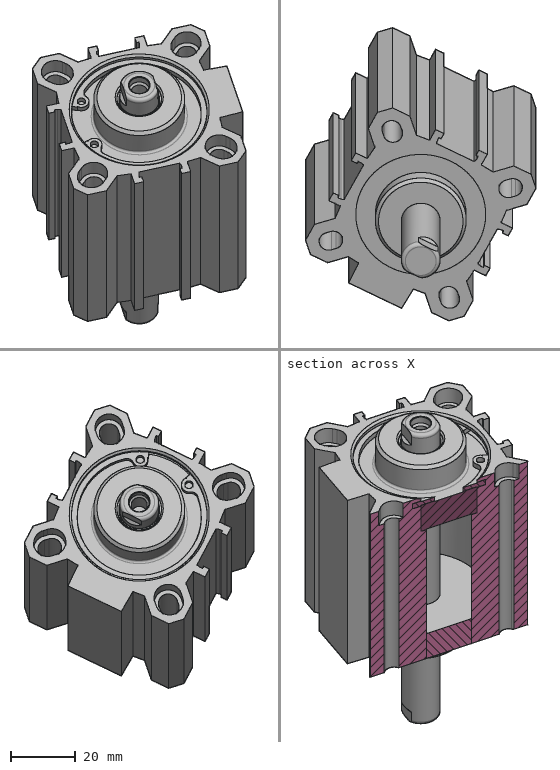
import cadquery as cq
import math

HOUSING_HEIGHT = 64.5
TOP_COLLAR_HEIGHT = 6.3
BOTTOM_COLLAR_HEIGHT = 5.5
ROD_STICKOUT_TOP = 6.2
ROD_STICKOUT_BOTTOM = 32.0

HALF_WIDTH = 27.5
LUG_OUTER_START = 24.0
LUG_INNER_START = 18.0
WALL_ROOT = 22.8
WALL_MIDDLE = 23.2
LUG_ROOT = LUG_INNER_START - (HALF_WIDTH - WALL_ROOT)
BLOCK_TOP = 30.5
BLOCK_HALF_WIDTH = 9.2
BLOCK_ROOT_HALF_WIDTH = 9.5

RAIL_TIP = 27.2
RAIL_OUTER = 8.95
RAIL_HOOK = 6.05
RAIL_NECK = 6.8
RAIL_FOOT = 6.5
RAIL_HOOK_START = 25.2
RAIL_FOOT_TOP = 24.2

MOUNT_POSITION = 20.5
MOUNT_ELONGATION = 1.4
MOUNT_DIAMETER = 5.9
MOUNT_COUNTERBORE = 8.57
MOUNT_COUNTERBORE_DEPTH = 5.6

BORE_DIAMETER = 40.0
SEAT_DIAMETER = 41.7
SEAT_MOUTH_DIAMETER = 43.1
GROOVE_DIAMETER = 44.7

RING_DEPTH = 1.7
RING_THICKNESS = 1.75
RING_INNER_DIAMETER = 38.2
RING_TURN = -1.9
EAR_PITCH_RADIUS = 18.36
EAR_ANGLE = 27.7
EAR_HOLE_DIAMETER = 2.5
GAP_HALF_ANGLE = 20.4
EAR_FILLET = 2.25

COLLAR_DIAMETER = 28.0
COLLAR_CHAMFER = 1.0
COLLAR_FILLET = 0.8
COVER_THICKNESS = 10.0
WIPER_DIAMETER = 13.7
WIPER_DEPTH = 1.0
WIPER_CHAMFER = 0.55
WIPER_LIP_DIAMETER = 12.54
WIPER_LIP_DEPTH = 2.0

ROD_DIAMETER = 12.0
ROD_END_FILLET = 1.25
FLAT_DISTANCE = 10.0
FLAT_LENGTH = 4.5
FLAT_RUNOUT = 0.8
THREAD_DIAMETER = 4.92
THREAD_DEPTH = 12.0
THREAD_RELIEF_DIAMETER = 6.25
THREAD_RELIEF_DEPTH = 2.5
THREAD_MOUTH_CHAMFER = 0.2
DRILL_POINT_ANGLE = 168.0

RING_BOTTOM = HOUSING_HEIGHT - RING_DEPTH - RING_THICKNESS
SEAT_FLOOR = RING_BOTTOM - COVER_THICKNESS
ROD_TOP = HOUSING_HEIGHT + TOP_COLLAR_HEIGHT + ROD_STICKOUT_TOP
ROD_BOTTOM = -BOTTOM_COLLAR_HEIGHT - ROD_STICKOUT_BOTTOM
CORNERS = [(sx, sy) for sx in (-1, 1) for sy in (-1, 1)]


def cylinder(diameter, bottom, top):
    return cq.Workplane("XY").workplane(offset=bottom).circle(diameter / 2).extrude(top - bottom)


def cone(bottom_diameter, top_diameter, bottom, top):
    height = top - bottom
    base = cq.Vector(0, 0, bottom)
    return cq.Workplane(cq.Solid.makeCone(bottom_diameter / 2, top_diameter / 2, height, base))


def housing_core():
    """Square extrusion with a chamfered lug at each corner."""
    quarter = [
        (WALL_MIDDLE, RAIL_OUTER),
        (WALL_ROOT, LUG_ROOT),
        (HALF_WIDTH, LUG_INNER_START),
        (HALF_WIDTH, LUG_OUTER_START),
        (LUG_OUTER_START, HALF_WIDTH),
        (LUG_INNER_START, HALF_WIDTH),
        (LUG_ROOT, WALL_ROOT),
        (RAIL_OUTER, WALL_MIDDLE),
    ]
    outline = []
    for quarter_turns in range(4):
        for x, y in quarter:
            for _ in range(quarter_turns):
                x, y = -y, x
            outline.append((x, y))
    return cq.Workplane("XY").polyline(outline).close().extrude(HOUSING_HEIGHT)


def rail_pair():
    """Two hooked rails on the +X wall, mirrored about the XZ plane."""
    inside = WALL_ROOT
    outline = [
        (inside, RAIL_OUTER),
        (RAIL_TIP, RAIL_OUTER),
        (RAIL_TIP, RAIL_HOOK),
        (RAIL_HOOK_START, RAIL_HOOK),
        (RAIL_HOOK_START, RAIL_NECK),
        (RAIL_FOOT_TOP, RAIL_NECK),
        (WALL_MIDDLE, RAIL_FOOT),
        (inside, RAIL_FOOT),
    ]
    rail = cq.Workplane("XY").polyline(outline).close().extrude(HOUSING_HEIGHT)
    return rail.union(rail.mirror("XZ"))


def port_block():
    """Raised block along the +Y wall."""
    outline = [
        (-BLOCK_ROOT_HALF_WIDTH, WALL_ROOT),
        (BLOCK_ROOT_HALF_WIDTH, WALL_ROOT),
        (BLOCK_HALF_WIDTH, BLOCK_TOP),
        (-BLOCK_HALF_WIDTH, BLOCK_TOP),
    ]
    return cq.Workplane("XY").polyline(outline).close().extrude(HOUSING_HEIGHT)


def mounting_slot(sx, sy, diameter, bottom, top):
    slot = cq.Workplane("XY").workplane(offset=bottom).center(sx * MOUNT_POSITION, sy * MOUNT_POSITION)
    return slot.slot2D(diameter + MOUNT_ELONGATION, diameter, 45 * sx * sy).extrude(top - bottom)


def make_housing():
    body = housing_core().union(port_block())
    for angle in (0, 180, 270):
        body = body.union(rail_pair().rotate((0, 0, 0), (0, 0, 1), angle))
    body = body.cut(cylinder(BORE_DIAMETER, 0, HOUSING_HEIGHT))
    body = body.cut(cylinder(SEAT_DIAMETER, SEAT_FLOOR, HOUSING_HEIGHT))
    body = body.cut(cylinder(GROOVE_DIAMETER, RING_BOTTOM, RING_BOTTOM + RING_THICKNESS))
    mouth_depth = (SEAT_MOUTH_DIAMETER - SEAT_DIAMETER) / 2
    mouth_bottom = HOUSING_HEIGHT - mouth_depth
    body = body.cut(cone(SEAT_DIAMETER, SEAT_MOUTH_DIAMETER, mouth_bottom, HOUSING_HEIGHT))
    counterbore_floor = HOUSING_HEIGHT - MOUNT_COUNTERBORE_DEPTH
    for sx, sy in CORNERS:
        body = body.cut(mounting_slot(sx, sy, MOUNT_DIAMETER, 0, HOUSING_HEIGHT))
        body = body.cut(mounting_slot(sx, sy, MOUNT_COUNTERBORE, counterbore_floor, HOUSING_HEIGHT))
    return body


def make_snap_ring():
    """Open ring with two drilled ears beside the gap, which faces -Y."""
    top = RING_BOTTOM + RING_THICKNESS
    outside = cylinder(GROOVE_DIAMETER, RING_BOTTOM, top)
    ring = outside.cut(cylinder(RING_INNER_DIAMETER, RING_BOTTOM, top))
    ear_radius = EAR_PITCH_RADIUS * math.sin(math.radians(EAR_ANGLE - GAP_HALF_ANGLE))
    angle = math.radians(EAR_ANGLE)
    ear_x = EAR_PITCH_RADIUS * math.sin(angle)
    ear_y = -EAR_PITCH_RADIUS * math.cos(angle)
    ears = [(-ear_x, ear_y), (ear_x, ear_y)]
    plane = cq.Workplane("XY").workplane(offset=RING_BOTTOM)
    ring = ring.union(plane.pushPoints(ears).circle(ear_radius).extrude(RING_THICKNESS))

    reach = GROOVE_DIAMETER
    half_gap = reach * math.tan(math.radians(GAP_HALF_ANGLE))
    wedge = plane.polyline([(0, 0), (-half_gap, -reach), (half_gap, -reach)]).close().extrude(RING_THICKNESS)
    ring = ring.cut(wedge)

    inner_radius = RING_INNER_DIAMETER / 2
    squares = EAR_PITCH_RADIUS**2 + inner_radius**2 - ear_radius**2
    corner_angle = angle + math.acos(squares / (2 * EAR_PITCH_RADIUS * inner_radius))
    for side in (-1, 1):
        corner = (
            side * inner_radius * math.sin(corner_angle),
            -inner_radius * math.cos(corner_angle),
            RING_BOTTOM + RING_THICKNESS / 2,
        )
        ring = ring.edges(cq.selectors.NearestToPointSelector(corner)).fillet(EAR_FILLET)

    ring = ring.cut(plane.pushPoints(ears).circle(EAR_HOLE_DIAMETER / 2).extrude(RING_THICKNESS))
    return ring.rotate((0, 0, 0), (0, 0, 1), RING_TURN)


def make_top_cover():
    """Flange held under the snap ring, with a collar and a stepped wiper bore around the rod."""
    top = HOUSING_HEIGHT + TOP_COLLAR_HEIGHT
    collar = cylinder(COLLAR_DIAMETER, RING_BOTTOM, top).faces(">Z").edges().chamfer(COLLAR_CHAMFER)
    cover = cylinder(SEAT_DIAMETER, SEAT_FLOOR, RING_BOTTOM).union(collar)
    flange_face = cq.selectors.NearestToPointSelector((0, 0, RING_BOTTOM))
    cover = cover.faces(flange_face).edges(cq.selectors.RadiusNthSelector(0)).fillet(COLLAR_FILLET)
    cover = cover.cut(cylinder(ROD_DIAMETER, SEAT_FLOOR, top))
    cover = cover.cut(cylinder(WIPER_LIP_DIAMETER, top - WIPER_LIP_DEPTH, top))
    cover = cover.cut(cylinder(WIPER_DIAMETER, top - WIPER_DEPTH, top))
    mouth_diameter = WIPER_DIAMETER + 2 * WIPER_CHAMFER
    return cover.cut(cone(WIPER_DIAMETER, mouth_diameter, top - WIPER_CHAMFER, top))


def make_bottom_cover():
    """Plug in the lower end of the bore, with a collar below the housing."""
    collar = cylinder(COLLAR_DIAMETER, -BOTTOM_COLLAR_HEIGHT, 0).faces("<Z").edges().chamfer(COLLAR_CHAMFER)
    cover = cylinder(BORE_DIAMETER, 0, COVER_THICKNESS).union(collar)
    return cover.cut(cylinder(ROD_DIAMETER, -BOTTOM_COLLAR_HEIGHT, COVER_THICKNESS))


def wrench_flat(end, inward):
    """Material outside the +Y flat at one rod end; `inward` is the Z direction into the rod."""
    flat = FLAT_DISTANCE / 2
    outside = ROD_DIAMETER / 2
    profile = [
        (flat, end),
        (flat, end + inward * FLAT_LENGTH),
        (outside, end + inward * (FLAT_LENGTH + FLAT_RUNOUT)),
        (outside, end),
    ]
    return cq.Workplane("YZ").polyline(profile).close().extrude(ROD_DIAMETER / 2, both=True)


def make_rod():
    """Through rod with rounded ends, two wrench flats at each end and a threaded hole on top."""
    rod = cylinder(ROD_DIAMETER, ROD_BOTTOM, ROD_TOP)
    rod = rod.faces("<Z or >Z").edges().fillet(ROD_END_FILLET)
    for end, inward in ((ROD_TOP, -1), (ROD_BOTTOM, 1)):
        flat = wrench_flat(end, inward)
        rod = rod.cut(flat).cut(flat.mirror("XZ"))

    relief_floor = ROD_TOP - THREAD_RELIEF_DEPTH
    step = (THREAD_RELIEF_DIAMETER - THREAD_DIAMETER) / 2
    hole_floor = ROD_TOP - THREAD_DEPTH
    point_depth = THREAD_DIAMETER / 2 / math.tan(math.radians(DRILL_POINT_ANGLE / 2))
    rod = rod.cut(cylinder(THREAD_RELIEF_DIAMETER, relief_floor, ROD_TOP))
    mouth_diameter = THREAD_RELIEF_DIAMETER + 2 * THREAD_MOUTH_CHAMFER
    rod = rod.cut(cone(THREAD_RELIEF_DIAMETER, mouth_diameter, ROD_TOP - THREAD_MOUTH_CHAMFER, ROD_TOP))
    rod = rod.cut(cone(THREAD_DIAMETER, THREAD_RELIEF_DIAMETER, relief_floor - step, relief_floor))
    rod = rod.cut(cylinder(THREAD_DIAMETER, hole_floor, ROD_TOP))
    return rod.cut(cone(0.0, THREAD_DIAMETER, hole_floor - point_depth, hole_floor))


housing = make_housing()
snap_ring = make_snap_ring()
top_cover = make_top_cover()
bottom_cover = make_bottom_cover()
rod = make_rod()

result = cq.Compound.makeCompound(
    [housing.val(), snap_ring.val(), top_cover.val(), bottom_cover.val(), rod.val()]
)